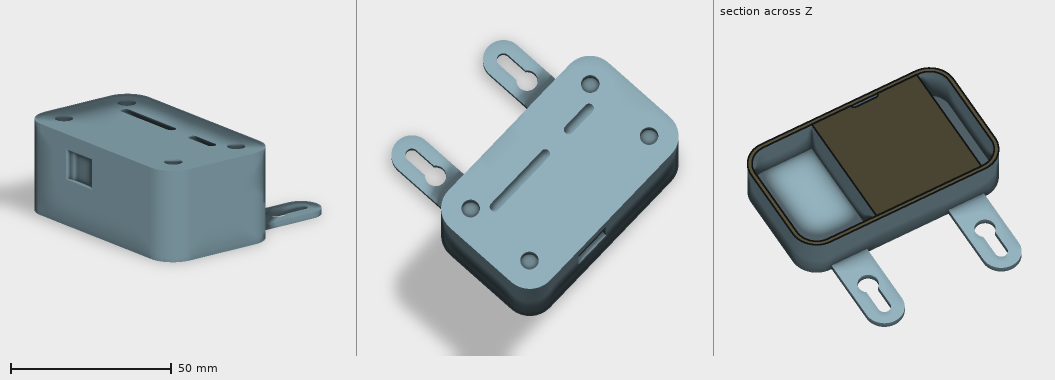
import cadquery as cq

length = 73.0
depth = 43.15
height = 30.0
corner_radius = 8.6

base_thickness = 2.0
total_depth = 71.3
ear_width = 12.8
ear_spacing = 42.1
keyhole_slot_width = 4.15
keyhole_head_diameter = 6.65
keyhole_travel = 10.1
ear_tip_y = total_depth - depth / 2 - ear_width / 2

wall = 1.5
roof_thickness = 4.0
recess_diameter = 5.8
recess_depth = 3.0
recess_spacing_x = 55.05
recess_spacing_y = 25.0

slot_width = 3.0
slot_from_front = 29.0
slot_y = slot_from_front - depth / 2
long_slot_length = 26.35
long_slot_x = -10.4
short_slot_length = 12.4
short_slot_x = 16.8

window_width = 12.9
window_height = 9.9
window_bottom = 15.1
window_x = -8.5

block_length = 37.95
block_top = 24.1
block_depth = depth - 2 * wall
groove_width = 9.3
groove_depth = 0.95


def rounded_box(size_x, size_y, radius, bottom, top):
    """Upright box with rounded vertical edges, centred on the Z axis."""
    return (
        cq.Workplane("XY", origin=(0, 0, bottom))
        .rect(size_x, size_y)
        .extrude(top - bottom)
        .edges("|Z")
        .fillet(radius)
    )


def keyhole(x):
    """Cutter for one hanging hole: a round head with a narrow slot above it."""
    head_y = ear_tip_y - keyhole_travel
    head = cq.Workplane("XY").center(x, head_y).circle(keyhole_head_diameter / 2).extrude(base_thickness)
    slot = (
        cq.Workplane("XY")
        .center(x, (ear_tip_y + head_y) / 2)
        .slot2D(keyhole_travel + keyhole_slot_width, keyhole_slot_width, 90)
        .extrude(base_thickness)
    )
    return head.union(slot)


def make_base():
    """Flat plate under the housing with two round-ended ears behind it."""
    plate = rounded_box(length, depth, corner_radius, 0, base_thickness)
    for x in (-ear_spacing / 2, ear_spacing / 2):
        ear = (
            cq.Workplane("XY")
            .center(x, ear_tip_y / 2)
            .slot2D(ear_tip_y + ear_width, ear_width, 90)
            .extrude(base_thickness)
        )
        plate = plate.union(ear).cut(keyhole(x))
    return plate


def sloping_slot(x, slot_length):
    """Cutter for a round-ended slot that runs backward at 45 degrees on its way down."""
    half_straight = (slot_length - slot_width) / 2
    radius = slot_width / 2
    profile = (
        cq.Workplane("XY", origin=(x, slot_y, height))
        .moveTo(-half_straight, -radius)
        .lineTo(half_straight, -radius)
        .threePointArc((half_straight + radius, 0), (half_straight, radius))
        .lineTo(-half_straight, radius)
        .threePointArc((-half_straight - radius, 0), (-half_straight, -radius))
        .close()
        .wires()
        .val()
    )
    path = cq.Vector(0, roof_thickness, -roof_thickness)
    return cq.Workplane(cq.Solid.extrudeLinear(profile, [], path))


def make_housing():
    """Open-bottomed shell with roof recesses, sloping slots and a front window."""
    shell = rounded_box(length, depth, corner_radius, base_thickness, height)
    cavity = rounded_box(
        length - 2 * wall, depth - 2 * wall, corner_radius - wall, base_thickness, height - roof_thickness
    )
    recesses = (
        cq.Workplane("XY", origin=(0, 0, height))
        .rect(recess_spacing_x, recess_spacing_y, forConstruction=True)
        .vertices()
        .circle(recess_diameter / 2)
        .extrude(-recess_depth)
    )
    window = (
        cq.Workplane("XY", origin=(window_x, (wall - depth) / 2, window_bottom))
        .box(window_width, wall, window_height, centered=(True, True, False))
    )
    shell = shell.cut(cavity).cut(recesses).cut(window)
    for x, slot_length in ((long_slot_x, long_slot_length), (short_slot_x, short_slot_length)):
        shell = shell.cut(sloping_slot(x, slot_length))
    return shell


def make_block():
    """Block filling the cavity front to back, with a shallow upright groove behind the window."""
    block_height = block_top - base_thickness
    block = (
        cq.Workplane("XY", origin=(window_x, 0, base_thickness))
        .box(block_length, block_depth, block_height, centered=(True, True, False))
    )
    groove = (
        cq.Workplane("XY", origin=(window_x, -block_depth / 2, base_thickness))
        .slot2D(groove_width, 2 * groove_depth)
        .extrude(block_height)
    )
    return block.cut(groove)


base = make_base()
housing = make_housing()
block = make_block()

result = cq.Compound.makeCompound([body.solids().val() for body in (base, housing, block)])